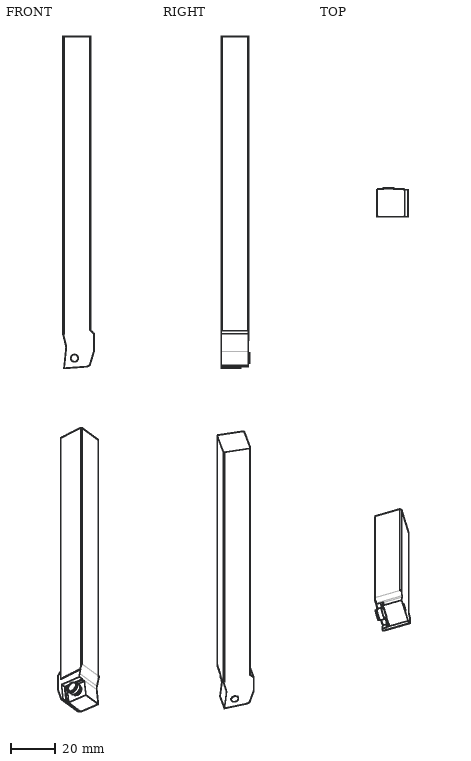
import cadquery as cq
import math

length = 149.4
shank_size = 12.5
edge_chamfer = 0.5
front_left_chamfer = 0.6

head_width = 14.0
head_depth = 12.2
relief_top = 12.7
tip_x = 0.5
heel_x = 10.8
heel_z = 0.7
toe_x = 12.1
toe_z = 1.3
side_bottom = 7.8
side_top = 15.5
bump_left = shank_size - edge_chamfer
bump_top = side_top + head_width - bump_left
taper_top = 15.5
neck_x = 1.5
neck_z = 9.7
neck_radius = 5.2

pocket_floor = 8.8
pocket_step = 10.2
pocket_width = 10.0
pocket_height = 8.2
pocket_relief = 0.5
pocket_lean = math.atan2(neck_x - tip_x, neck_z)
bottom_slope = heel_z / (heel_x - tip_x)
pocket_overrun = 3.0

screw_x = 5.2
screw_z = 4.6
hole_diameter = 3.3
shank_bore_diameter = 4.5
screw_end = 3.7
collar_diameter = 5.4
collar_top = head_depth
cap_diameter = 4.6
screw_top = 13.0


def prism(points, y_start, y_end):
    """Extrude an outline in X and Z from y_start to y_end."""
    return (
        cq.Workplane("XZ", origin=(0, y_start, 0))
        .polyline(points).close()
        .extrude(y_start - y_end)
    )


def rod(diameter, y_start, y_end):
    """Cylinder along Y on the screw axis."""
    return (
        cq.Workplane("XZ", origin=(screw_x, y_start, screw_z))
        .circle(diameter / 2)
        .extrude(y_start - y_end)
    )


def make_shank():
    shank = cq.Workplane("XY").box(shank_size, shank_size, length - relief_top, centered=False)
    shank = shank.translate((0, 0, relief_top))
    shank = shank.edges("|Z").edges("<X and <Y").chamfer(front_left_chamfer)
    shank = shank.edges("|Z").edges(">X and <Y").chamfer(edge_chamfer)
    shank = shank.edges("|Z").edges(">Y").chamfer(edge_chamfer)
    slope = neck_x / (taper_top - neck_z)
    trim_x = slope * (taper_top - relief_top)
    trim = prism([(0, taper_top), (0, relief_top), (trim_x, relief_top)], 0, shank_size)
    return shank.cut(trim)


def make_head():
    outline = [
        (tip_x, 0),
        (heel_x, heel_z),
        (toe_x, toe_z),
        (head_width, side_bottom),
        (head_width, side_top),
        (bump_left, bump_top),
        (shank_size / 2, bump_top),
        (shank_size / 2, taper_top),
        (0, taper_top),
        (neck_x, neck_z),
    ]
    head = prism(outline, 0, head_depth)
    neck_edge = cq.selectors.NearestToPointSelector((neck_x, head_depth / 2, neck_z))
    return head.edges(neck_edge).fillet(neck_radius)


def make_pocket(y_start, y_end, growth):
    """Pocket whose walls follow the leaning left and bottom sides of the head."""
    lean = math.tan(pocket_lean)
    left = tip_x - pocket_overrun
    right = tip_x + pocket_width + growth
    top = pocket_height + growth
    top_right = right + top * lean
    outline = [
        (left, -pocket_overrun),
        (right - pocket_overrun * lean, -pocket_overrun),
        (top_right, top + (top_right - tip_x) * bottom_slope),
        (left, top + (left - tip_x) * bottom_slope),
    ]
    return prism(outline, y_start, y_end)


def make_holder():
    holder = make_shank().union(make_head())
    holder = holder.cut(make_pocket(pocket_floor, pocket_step, 0))
    holder = holder.cut(make_pocket(pocket_step, shank_size, pocket_relief))
    holder = holder.cut(rod(hole_diameter, 0, screw_end))
    return holder.cut(rod(shank_bore_diameter, screw_end, pocket_floor))


def make_screw():
    screw = rod(shank_bore_diameter, screw_end, pocket_step)
    screw = screw.union(rod(collar_diameter, pocket_step, collar_top))
    return screw.union(rod(cap_diameter, collar_top, screw_top))


holder = make_holder()
screw = make_screw()

result = cq.Compound.makeCompound([holder.val(), screw.val()])